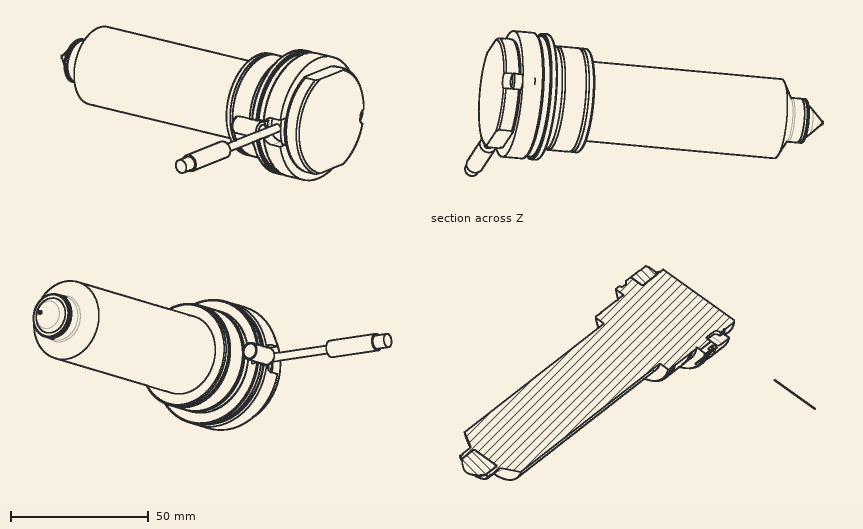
import cadquery as cq
import math

TOTAL_LENGTH = 124.0
TOTAL_WIDTH = 98.0
OVERLAP = 1.2

TIP_POINT_RADIUS = 0.6
TIP_POINT_LENGTH = 0.4
TIP_CONE_END = 5.0
TIP_CONE_RADIUS = 5.1
TIP_RADIUS = 6.5
TIP_SEAT_DEPTH = 6.0

NOSE_START = 7.0
NOSE_RADIUS = 8.0
NOSE_CHAMFER = 0.4
NOSE_GROOVE_START = 7.7
NOSE_GROOVE_WIDTH = 1.0
NOSE_GROOVE_DEPTH = 0.2
NOSE_END = 13.0
NOSE_FILLET = 1.0
BARREL_START = 16.7
BARREL_RADIUS = 14.5

FLANGE_CHAMFER = 0.4
COLLAR_CHAMFER = 0.5
COLLAR_START = 89.9
COLLAR_RADIUS = 19.0
COLLAR_GROOVE_STARTS = (92.0, 100.9)
COLLAR_GROOVE_WIDTH = 1.1
COLLAR_GROOVE_DEPTH = 0.1
FLANGE_START = 104.9
FLANGE_END = 107.4
FLANGE_RADIUS = 46.0 / 2
GAP_RADIUS = 22.0
RING_START = 109.7
RING_END = 117.8
RING_FRONT_CHAMFER = 0.7

RELIEF_RADIUS = 19.6
NUT_START = 118.4
NUT_RADIUS = 20.0
NUT_CHAMFER = 0.7
NUT_ACROSS_FLATS = 36.0

POCKET_START = 110.2
POCKET_WIDTH = 10.2
POCKET_CORNER = 3.7
POCKET_FLOOR_RADIUS = 17.9
POCKET_LEDGE_START = 116.1
POCKET_LEDGE_FILLET = 1.5
SLOT_FLOOR = 20.1

PIN_RADIUS = 3.1
PIN_START = 97.2
PIN_SHOULDER = 98.8
PIN_END = 110.4
PIN_POINT_RADIUS = 2.7
PIN_AXIS_Y = -23.5
PIN_LEAD_LENGTH = 0.5
PIN_LEAD_DEPTH = 1.0
SLOT_WIDTH = 2 * PIN_RADIUS

DOWEL_RADIUS = 2.9
DOWEL_START = 113.2
DOWEL_END = 121.3
DOWEL_AXIS_Y = 19.7
DOWEL_AXIS_Z = -3.0

CABLE_AXIS_X = 113.0
CABLE_RADIUS = 1.5
CABLE_START = 15.4
SLEEVE_START = 49.7
SLEEVE_END = 70.0
SLEEVE_RADIUS = 3.1
FERRULE_END = TOTAL_WIDTH - FLANGE_RADIUS
FERRULE_RADIUS = 2.5


def revolve_about_x(profile):
    """Turn a closed (X, radius) profile a full turn about the X axis."""
    return profile.close().revolve(360, (0, 0, 0), (1, 0, 0))


def rod_along_x(start, end, radius, y=0.0, z=0.0):
    """Plain cylinder from X = start to X = end."""
    return cq.Workplane("YZ", origin=(start, y, z)).circle(radius).extrude(end - start)


def rod_along_minus_y(start, end, radius):
    """Plain cylinder on the cable axis between two distances from Y = 0."""
    return cq.Workplane("XZ", origin=(CABLE_AXIS_X, -start, 0)).circle(radius).extrude(end - start)


def chamfered_disc(start, end, radius, front=0.0, rear=0.0):
    """Disc on the X axis with optional 45 degree chamfers on its two rims."""
    profile = cq.Workplane("XY").moveTo(start, 0).lineTo(start, radius - front)
    if front:
        profile = profile.lineTo(start + front, radius)
    profile = profile.lineTo(end - rear, radius)
    if rear:
        profile = profile.lineTo(end, radius - rear)
    return revolve_about_x(profile.lineTo(end, 0))


def rim_groove(start, width, radius, depth):
    """Ring-shaped cutter for a shallow groove around a cylinder."""
    outside = rod_along_x(start, start + width, radius + OVERLAP)
    return outside.cut(rod_along_x(start, start + width, radius - depth))


def make_nose_and_barrel():
    """Nose ring, shoulder cone blended into it, and the long barrel."""
    slope = math.atan2(BARREL_RADIUS - NOSE_RADIUS, BARREL_START - NOSE_END)
    tangent = NOSE_FILLET * math.tan(slope / 2)
    centre = (NOSE_END - tangent, NOSE_RADIUS + NOSE_FILLET)
    arc_middle = (
        centre[0] + NOSE_FILLET * math.sin(slope / 2),
        centre[1] - NOSE_FILLET * math.cos(slope / 2),
    )
    arc_end = (
        NOSE_END + tangent * math.cos(slope),
        NOSE_RADIUS + tangent * math.sin(slope),
    )
    profile = (
        cq.Workplane("XY")
        .moveTo(NOSE_START, 0)
        .lineTo(NOSE_START, NOSE_RADIUS - NOSE_CHAMFER)
        .lineTo(NOSE_START + NOSE_CHAMFER, NOSE_RADIUS)
        .lineTo(NOSE_END - tangent, NOSE_RADIUS)
        .threePointArc(arc_middle, arc_end)
        .lineTo(BARREL_START, BARREL_RADIUS)
        .lineTo(COLLAR_START, BARREL_RADIUS)
        .lineTo(COLLAR_START, 0)
    )
    groove = rim_groove(NOSE_GROOVE_START, NOSE_GROOVE_WIDTH, NOSE_RADIUS, NOSE_GROOVE_DEPTH)
    return revolve_about_x(profile).cut(groove)


def make_collar():
    """Collar with two shallow grooves."""
    collar = chamfered_disc(COLLAR_START, FLANGE_START, COLLAR_RADIUS, COLLAR_CHAMFER, COLLAR_CHAMFER)
    for start in COLLAR_GROOVE_STARTS:
        collar = collar.cut(rim_groove(start, COLLAR_GROOVE_WIDTH, COLLAR_RADIUS, COLLAR_GROOVE_DEPTH))
    return collar


def make_nut_end():
    """Round rear end and its relief, with flats facing +Z and -Z."""
    nut = chamfered_disc(NUT_START, TOTAL_LENGTH, NUT_RADIUS, rear=NUT_CHAMFER)
    between_flats = cq.Workplane("XY").box(2 * TOTAL_LENGTH, 2 * TOTAL_LENGTH, NUT_ACROSS_FLATS)
    relief = rod_along_x(RING_END, NUT_START, RELIEF_RADIUS)
    return nut.union(relief).intersect(between_flats)


def pocket_core():
    """Round core left standing in the cable pocket, with a ledge at the rear."""
    fillet_start = POCKET_LEDGE_START - POCKET_LEDGE_FILLET
    fillet_middle = (
        fillet_start + POCKET_LEDGE_FILLET * math.sin(math.pi / 4),
        POCKET_FLOOR_RADIUS + POCKET_LEDGE_FILLET * (1 - math.cos(math.pi / 4)),
    )
    fillet_end = (POCKET_LEDGE_START, POCKET_FLOOR_RADIUS + POCKET_LEDGE_FILLET)
    profile = (
        cq.Workplane("XY")
        .moveTo(RING_START, 0)
        .lineTo(RING_START, POCKET_FLOOR_RADIUS)
        .lineTo(fillet_start, POCKET_FLOOR_RADIUS)
        .threePointArc(fillet_middle, fillet_end)
        .lineTo(POCKET_LEDGE_START, NUT_RADIUS)
        .lineTo(RING_END, NUT_RADIUS)
        .lineTo(RING_END, 0)
    )
    return revolve_about_x(profile)


def cable_pocket():
    """Cutter for the round-cornered pocket that opens at the rear of the ring."""
    length = RING_END - POCKET_START
    block = (
        cq.Workplane("XZ", origin=(POCKET_START + length / 2, 0, 0))
        .rect(length, POCKET_WIDTH)
        .extrude(FLANGE_RADIUS + OVERLAP)
        .edges("|Y and <X")
        .fillet(POCKET_CORNER)
    )
    return block.cut(pocket_core())


def pin_slot():
    """Cutter for the flat-floored slot through the flange, the gap and the ring front."""
    start = FLANGE_START
    end = CABLE_AXIS_X
    height = FLANGE_RADIUS + OVERLAP - SLOT_FLOOR
    return (
        cq.Workplane("XZ", origin=((start + end) / 2, -SLOT_FLOOR, 0))
        .rect(end - start, SLOT_WIDTH)
        .extrude(height)
    )


def make_housing():
    """Nozzle housing with its seats for the tip, the cable and the dowel."""
    housing = (
        make_nose_and_barrel()
        .union(make_collar())
        .union(chamfered_disc(FLANGE_START, FLANGE_END, FLANGE_RADIUS, FLANGE_CHAMFER, FLANGE_CHAMFER))
        .union(rod_along_x(FLANGE_END, RING_START, GAP_RADIUS))
        .union(chamfered_disc(RING_START, RING_END, FLANGE_RADIUS, RING_FRONT_CHAMFER))
        .union(make_nut_end())
    )
    tip_seat = rod_along_x(NOSE_START, NOSE_START + TIP_SEAT_DEPTH, TIP_RADIUS)
    cable_seat = rod_along_minus_y(CABLE_START, FLANGE_RADIUS, CABLE_RADIUS)
    return (
        housing.cut(tip_seat)
        .cut(cable_pocket())
        .cut(pin_slot())
        .cut(cable_seat)
        .cut(rod_along_x(DOWEL_START, TOTAL_LENGTH, DOWEL_RADIUS, DOWEL_AXIS_Y, DOWEL_AXIS_Z))
    )


def make_tip():
    """Conical tip that rounds over into a cylindrical shank."""
    profile = (
        cq.Workplane("XY")
        .lineTo(0, TIP_POINT_RADIUS)
        .lineTo(TIP_POINT_LENGTH, TIP_POINT_RADIUS)
        .lineTo(TIP_CONE_END, TIP_CONE_RADIUS)
        .tangentArcPoint((NOSE_START, TIP_RADIUS), relative=False)
        .lineTo(NOSE_START + TIP_SEAT_DEPTH, TIP_RADIUS)
        .lineTo(NOSE_START + TIP_SEAT_DEPTH, 0)
    )
    return revolve_about_x(profile)


def make_locating_pin():
    """Pin with a pointed front, a small shoulder and a tapered lead at the rear."""
    profile = (
        cq.Workplane("XY")
        .moveTo(PIN_START, 0)
        .lineTo(PIN_SHOULDER, PIN_POINT_RADIUS)
        .lineTo(PIN_SHOULDER, PIN_RADIUS)
        .lineTo(PIN_END - PIN_LEAD_LENGTH, PIN_RADIUS)
        .lineTo(PIN_END, PIN_RADIUS - PIN_LEAD_DEPTH)
        .lineTo(PIN_END, 0)
    )
    return revolve_about_x(profile).translate((0, PIN_AXIS_Y, 0))


def make_dowel():
    """Dowel pressed into the ring, with a tapered lead at its free end."""
    profile = (
        cq.Workplane("XY")
        .moveTo(DOWEL_START, 0)
        .lineTo(DOWEL_START, DOWEL_RADIUS)
        .lineTo(DOWEL_END - PIN_LEAD_LENGTH, DOWEL_RADIUS)
        .lineTo(DOWEL_END, DOWEL_RADIUS - PIN_LEAD_DEPTH)
        .lineTo(DOWEL_END, 0)
    )
    return revolve_about_x(profile).translate((0, DOWEL_AXIS_Y, DOWEL_AXIS_Z))


def make_cable():
    """Cable with a thicker sleeve and a ferrule at its end."""
    return (
        rod_along_minus_y(CABLE_START, SLEEVE_START, CABLE_RADIUS)
        .union(rod_along_minus_y(SLEEVE_START, SLEEVE_END, SLEEVE_RADIUS))
        .union(rod_along_minus_y(SLEEVE_END, FERRULE_END, FERRULE_RADIUS))
    )


housing = make_housing()
tip = make_tip()
locating_pin = make_locating_pin()
dowel = make_dowel()
cable = make_cable()

result = cq.Compound.makeCompound(
    [body.solids().val() for body in (housing, tip, locating_pin, dowel, cable)]
)